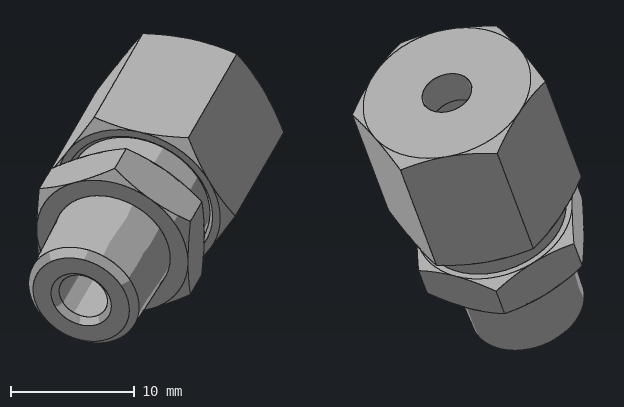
import cadquery as cq
import math


overall_length = 26.95
bore_diameter = 4.15
bevel_angle = 30.0

nut_corners = 16.17
nut_length = 13.02
nut_wall = 3.23
nut_mouth_chamfer = 0.35

hex_corners = 15.0
hex_length = 3.93
collar_diameter = 12.0
stud_length = 7.55
stud_base_diameter = 9.95
stud_taper = 1 / 16
stud_chamfer = 0.62
bore_chamfer = 0.5

stud_end = -overall_length / 2
hex_front = stud_end + stud_length
hex_back = hex_front + hex_length
nut_back = overall_length / 2
nut_front = nut_back - nut_length
collar_back = nut_back - nut_wall


def cylinder(diameter, start, end):
    """Cylinder on the Y axis between two Y positions."""
    base = cq.Workplane("XZ", origin=(0, start, 0))
    return base.circle(diameter / 2).extrude(start - end)


def turned(profile):
    """Solid of revolution about the Y axis from (radius, y) points."""
    return cq.Workplane("XY").polyline(profile).close().revolve(360, (0, 0, 0), (0, 1, 0))


def beveled_hexagon(corners, start, end, turn):
    """Hexagonal prism along Y with the corners of both ends beveled down to the flats."""
    corner_radius = corners / 2
    face_radius = corner_radius * math.cos(math.radians(30))
    bevel = (corner_radius - face_radius) * math.tan(math.radians(bevel_angle))
    prism = cq.Workplane("XZ", origin=(0, start, 0)).polygon(6, corners).extrude(start - end)
    prism = prism.rotate((0, 0, 0), (0, 1, 0), turn)
    envelope = turned([
        (0, start),
        (face_radius, start),
        (corner_radius, start + bevel),
        (corner_radius, end - bevel),
        (face_radius, end),
        (0, end),
    ])
    return prism.intersect(envelope)


def make_stud():
    """Tapered stud with a chamfered tip."""
    base_radius = stud_base_diameter / 2
    chamfer_start = stud_end + stud_chamfer
    edge_radius = base_radius - (hex_front - chamfer_start) * stud_taper / 2
    return turned([
        (0, stud_end),
        (edge_radius - stud_chamfer, stud_end),
        (edge_radius, chamfer_start),
        (base_radius, hex_front),
        (0, hex_front),
    ])


def make_body():
    """Stud, hexagon and collar in one piece, bored through and countersunk at the stud tip."""
    hexagon = beveled_hexagon(hex_corners, hex_front, hex_back, 30)
    collar = cylinder(collar_diameter, hex_back, collar_back)
    body = make_stud().union(hexagon).union(collar)
    countersink = turned([
        (0, stud_end),
        (bore_diameter / 2 + bore_chamfer, stud_end),
        (bore_diameter / 2, stud_end + bore_chamfer),
        (0, stud_end + bore_chamfer),
    ])
    return body.cut(cylinder(bore_diameter, stud_end, collar_back)).cut(countersink)


def make_nut():
    """Union nut with a socket for the collar and a clear passage through its end wall."""
    nut = beveled_hexagon(nut_corners, nut_front, nut_back, 0)
    socket = cylinder(collar_diameter, nut_front, collar_back)
    socket_radius = collar_diameter / 2
    mouth = turned([
        (0, nut_front),
        (socket_radius + nut_mouth_chamfer, nut_front),
        (socket_radius, nut_front + nut_mouth_chamfer),
        (0, nut_front + nut_mouth_chamfer),
    ])
    passage = cylinder(bore_diameter, collar_back, nut_back)
    return nut.cut(socket).cut(mouth).cut(passage)


body = make_body()
nut = make_nut()

result = cq.Compound.makeCompound([body.val(), nut.val()])